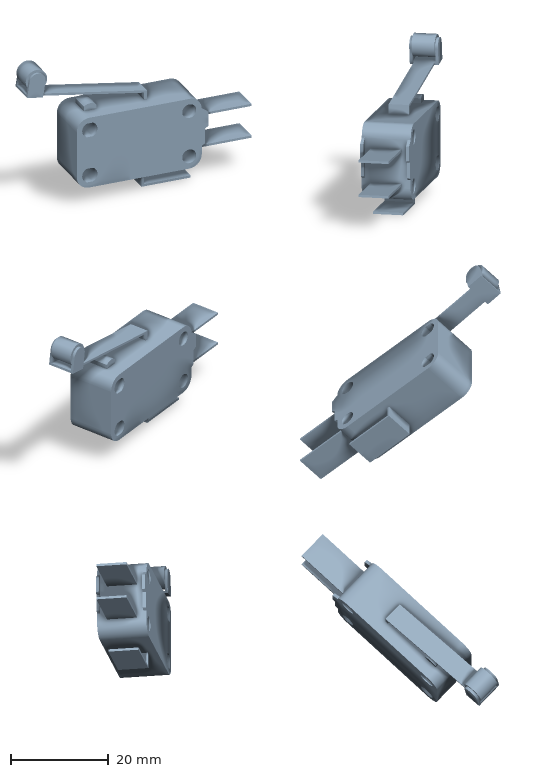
import math

import cadquery as cq


case_width = 10.3
case_length = 27.9
case_height = 15.9
corner_radius = 2.8

hole_diameter = 3.1
front_hole_diameter = 3.4
hole_pitch_y = 22.2
hole_pitch_z = 10.3
rear_hole_y = case_length - corner_radius
front_hole_y = rear_hole_y - hole_pitch_y
hole_mid_z = case_height / 2

guard_thickness = 0.65
guard_upper_reach = 1.5
guard_lower_reach = 0.75
guard_top_z = case_height - corner_radius
guard_upper_face_z = (8.9, 12.05)
guard_lower_face_z = (5.1, 8.5)
guard_bottom_z = 4.7

terminal_width = 6.3
terminal_thickness = 0.5
terminal_mid_x = -0.05
rear_terminal_end_y = 39.9
rear_terminal_mid_heights = (3.53, 10.77)
bottom_terminal_front_y = 15.35
bottom_terminal_end_y = 26.3
bottom_terminal_drop = 3.18

lever_mid_x = -0.22
lever_width = 4.25
lever_angle = math.radians(9.2)
lever_thickness = 0.5
lever_leg_rear_y = 17.1
lever_leg_thickness = 0.65

plunger_length = 2.8
plunger_mid_y = 4.38
plunger_side_height = 1.0
plunger_crown = 0.57

roller_diameter = 4.8
roller_width = 4.85
roller_y = -7.74
roller_z = 25.11
cheek_thickness = 0.6
cheek_radius = 1.8
cheek_drop = 3.6


def extrude_across(profile, mid_x, width):
    """Extrude a YZ profile to a width centred on mid_x."""
    return profile.extrude(width / 2, both=True).translate((mid_x, 0, 0))


def box_between(mid_x, width, y_range, z_range):
    """Box centred on mid_x that spans the given Y and Z ranges."""
    profile = (
        cq.Workplane("YZ")
        .moveTo(y_range[0], z_range[0])
        .lineTo(y_range[1], z_range[0])
        .lineTo(y_range[1], z_range[1])
        .lineTo(y_range[0], z_range[1])
        .close()
    )
    return extrude_across(profile, mid_x, width)


def lever_point(forward, above):
    """YZ point measured from the roller axis, along and square to the lever."""
    y = roller_y - forward * math.cos(lever_angle) + above * math.sin(lever_angle)
    z = roller_z + forward * math.sin(lever_angle) + above * math.cos(lever_angle)
    return (y, z)


def lever_height(y, above):
    """Z at the given Y on a line parallel to the lever."""
    start_y, start_z = lever_point(0, above)
    return start_z - (y - start_y) * math.tan(lever_angle)


def make_case():
    case = box_between(0, case_width, (0, case_length), (0, case_height))
    return case.edges("|X").fillet(corner_radius)


def make_guards():
    upper_y = case_length + guard_upper_reach
    lower_y = case_length + guard_lower_reach
    root_y = case_length - guard_thickness
    outline = [
        (root_y, guard_top_z),
        (case_length, guard_top_z),
        (upper_y, guard_upper_face_z[1]),
        (upper_y, guard_upper_face_z[0]),
        (lower_y, guard_lower_face_z[1]),
        (lower_y, guard_lower_face_z[0]),
        (case_length, guard_bottom_z),
        (root_y, guard_bottom_z),
    ]
    offset = (case_width - guard_thickness) / 2
    guards = cq.Workplane("YZ")
    for mid_x in (-offset, offset):
        profile = cq.Workplane("YZ").polyline(outline).close()
        guards = guards.add(extrude_across(profile, mid_x, guard_thickness))
    return guards.combine()


def make_mounting_holes():
    cutters = cq.Workplane("YZ")
    for z in (hole_mid_z - hole_pitch_z / 2, hole_mid_z + hole_pitch_z / 2):
        rear_hole = cq.Workplane("YZ").center(rear_hole_y, z).circle(hole_diameter / 2)
        front_hole = cq.Workplane("YZ").center(front_hole_y, z).circle(front_hole_diameter / 2)
        flats_y = (front_hole_y - front_hole_diameter / 2, front_hole_y + front_hole_diameter / 2)
        flats_z = (z - hole_diameter / 2, z + hole_diameter / 2)
        flats = box_between(0, case_width, flats_y, flats_z)
        cutters = cutters.add(extrude_across(rear_hole, 0, case_width))
        cutters = cutters.add(extrude_across(front_hole, 0, case_width).intersect(flats))
    return cutters.combine()


def make_rear_terminal(mid_z):
    z_range = (mid_z - terminal_thickness / 2, mid_z + terminal_thickness / 2)
    y_range = (case_length, rear_terminal_end_y)
    return box_between(terminal_mid_x, terminal_width, y_range, z_range)


def make_bottom_terminal():
    front_y = bottom_terminal_front_y
    bottom_z = -bottom_terminal_drop
    leg_y = (front_y, front_y + terminal_thickness)
    leg = box_between(terminal_mid_x, terminal_width, leg_y, (bottom_z, 0))
    blade_y = (front_y, bottom_terminal_end_y)
    blade_z = (bottom_z, bottom_z + terminal_thickness)
    return leg.union(box_between(terminal_mid_x, terminal_width, blade_y, blade_z))


def make_plunger():
    rear_y = plunger_mid_y + plunger_length / 2
    front_y = plunger_mid_y - plunger_length / 2
    side_z = case_height + plunger_side_height
    profile = (
        cq.Workplane("YZ")
        .moveTo(front_y, case_height)
        .lineTo(front_y, side_z)
        .threePointArc((plunger_mid_y, side_z + plunger_crown), (rear_y, side_z))
        .lineTo(rear_y, case_height)
        .close()
    )
    return extrude_across(profile, lever_mid_x, lever_width)


def make_lever():
    """Bent strip: a short upright leg and the sloping arm."""
    underside = -cheek_drop
    top_side = underside + lever_thickness
    leg_front_y = lever_leg_rear_y - lever_leg_thickness
    outline = [
        (lever_leg_rear_y, case_height),
        (lever_leg_rear_y, lever_height(lever_leg_rear_y, top_side)),
        lever_point(cheek_radius, top_side),
        lever_point(cheek_radius, underside),
        (leg_front_y, lever_height(leg_front_y, underside)),
        (leg_front_y, case_height),
    ]
    profile = cq.Workplane("YZ").polyline(outline).close()
    return extrude_across(profile, lever_mid_x, lever_width)


def make_roller_bracket():
    """U-shaped bracket: two round-topped cheeks joined by a flat base."""
    profile = (
        cq.Workplane("YZ")
        .moveTo(*lever_point(-cheek_radius, -cheek_drop))
        .lineTo(*lever_point(-cheek_radius, 0))
        .threePointArc(lever_point(0, cheek_radius), lever_point(cheek_radius, 0))
        .lineTo(*lever_point(cheek_radius, -cheek_drop))
        .close()
    )
    bracket = extrude_across(profile, lever_mid_x, roller_width + 2 * cheek_thickness)
    base_top = lever_thickness - cheek_drop
    opening = cq.Workplane("YZ").polyline(
        [
            lever_point(-roller_diameter, base_top),
            lever_point(-roller_diameter, roller_diameter),
            lever_point(roller_diameter, roller_diameter),
            lever_point(roller_diameter, base_top),
        ]
    ).close()
    return bracket.cut(extrude_across(opening, lever_mid_x, roller_width))


def make_roller():
    profile = cq.Workplane("YZ").center(roller_y, roller_z).circle(roller_diameter / 2)
    return extrude_across(profile, lever_mid_x, roller_width)


result = make_case().union(make_guards()).cut(make_mounting_holes())
for terminal_z in rear_terminal_mid_heights:
    result = result.union(make_rear_terminal(terminal_z))
result = result.union(make_bottom_terminal()).union(make_plunger())
result = result.union(make_lever()).union(make_roller_bracket()).union(make_roller())